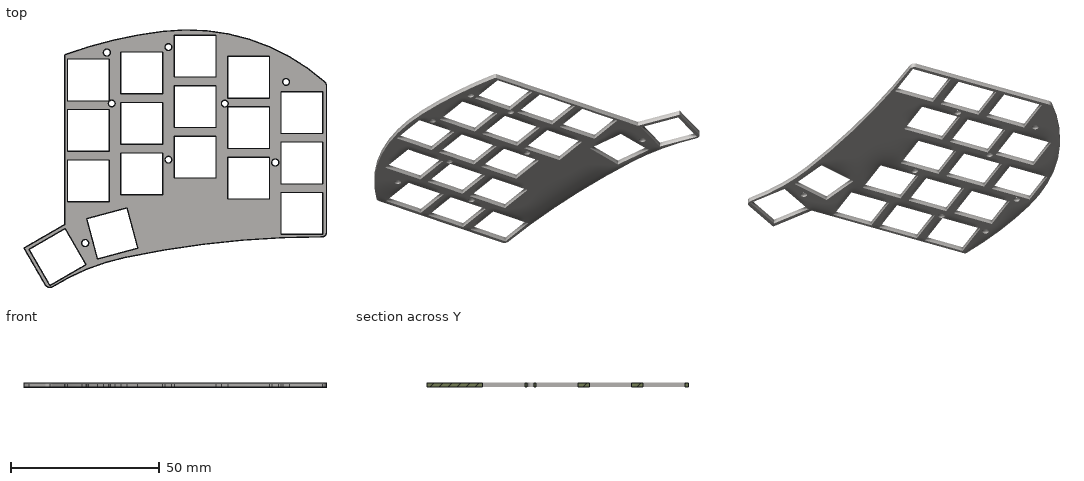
import cadquery as cq
import math

THICKNESS = 1.58

KEY_SIZE = 14.0
COLUMN_PITCH = 18.0
ROW_PITCH = 17.0
ROWS = 3
FIRST_COLUMN_X = -29.3
COLUMN_TOP_Y = [26.5, 28.9, 34.55, 27.43, 15.53]
INNER_THUMB_X, INNER_THUMB_Y, INNER_THUMB_ANGLE = -21.23, -25.2, 15.0
OUTER_THUMB_X, OUTER_THUMB_Y, OUTER_THUMB_ANGLE = -39.68, -33.15, 30.0

SMALL_SCREW_DIAMETER = 2.2
SMALL_SCREW_POSITIONS = [
    (-2.3, 37.6),
    (37.35, 25.85),
    (-21.4, 18.6),
    (16.7, 18.55),
    (-2.3, -0.35),
]
LARGE_SCREW_DIAMETER = 2.3
LARGE_SCREW_POSITIONS = [
    (-23.05, 35.75),
    (33.7, -1.3),
    (-30.35, -28.45),
]

LEFT_X = -37.3
RIGHT_X = 51.01
THUMB_MARGIN = 1.3

TOP_BLEND_X, TOP_BLEND_Y, TOP_BLEND_ANGLE = -4.0, 42.95, 6.76
TOP_LEFT_RADIUS, TOP_RIGHT_RADIUS = 148.8, 69.6
BOTTOM_BLEND_X, BOTTOM_BLEND_Y, BOTTOM_BLEND_ANGLE = -17.0, -33.35, 11.97
BOTTOM_LEFT_RADIUS, BOTTOM_RIGHT_RADIUS = 75.0, 320.0

TOP_LEFT_FILLET = 0.6
TOP_RIGHT_FILLET = 2.0
BOTTOM_RIGHT_FILLET = 1.6
THUMB_FILLET = 1.9


def arc_centre(blend_x, blend_y, blend_angle, radius):
    """Centre of the upward-bulging arc whose tangent at the blend point has this slope."""
    angle = math.radians(blend_angle)
    return blend_x + radius * math.sin(angle), blend_y - radius * math.cos(angle)


def point_on_arc(centre, radius, x):
    """Point at this x on the upper half of a circle."""
    return x, centre[1] + math.sqrt(radius**2 - (x - centre[0]) ** 2)


def from_outer_thumb(across, along):
    """Plate coordinates of a point given in the turned frame of the outer thumb key."""
    angle = math.radians(OUTER_THUMB_ANGLE)
    x = OUTER_THUMB_X + across * math.cos(angle) - along * math.sin(angle)
    y = OUTER_THUMB_Y + across * math.sin(angle) + along * math.cos(angle)
    return x, y


def thumb_side_meets_arc(centre, radius, side_offset):
    """Point where the outer thumb's left side, running down, meets the bottom arc."""
    angle = math.radians(OUTER_THUMB_ANGLE)
    dx = centre[0] - OUTER_THUMB_X
    dy = centre[1] - OUTER_THUMB_Y
    centre_across = dx * math.cos(angle) + dy * math.sin(angle)
    centre_along = dy * math.cos(angle) - dx * math.sin(angle)
    along = centre_along + math.sqrt(radius**2 - (side_offset - centre_across) ** 2)
    return from_outer_thumb(side_offset, along)


def plate_blank():
    top_blend = (TOP_BLEND_X, TOP_BLEND_Y)
    top_left_centre = arc_centre(*top_blend, TOP_BLEND_ANGLE, TOP_LEFT_RADIUS)
    top_right_centre = arc_centre(*top_blend, TOP_BLEND_ANGLE, TOP_RIGHT_RADIUS)
    bottom_blend = (BOTTOM_BLEND_X, BOTTOM_BLEND_Y)
    bottom_left_centre = arc_centre(*bottom_blend, BOTTOM_BLEND_ANGLE, BOTTOM_LEFT_RADIUS)
    bottom_right_centre = arc_centre(*bottom_blend, BOTTOM_BLEND_ANGLE, BOTTOM_RIGHT_RADIUS)

    thumb_edge = KEY_SIZE / 2 + THUMB_MARGIN
    thumb_outer_corner = from_outer_thumb(-thumb_edge, thumb_edge)
    thumb_rise = (LEFT_X - thumb_outer_corner[0]) * math.tan(math.radians(OUTER_THUMB_ANGLE))
    thumb_inner_corner = (LEFT_X, thumb_outer_corner[1] + thumb_rise)
    thumb_bottom_corner = thumb_side_meets_arc(bottom_left_centre, BOTTOM_LEFT_RADIUS, -thumb_edge)
    top_left = point_on_arc(top_left_centre, TOP_LEFT_RADIUS, LEFT_X)
    top_right = point_on_arc(top_right_centre, TOP_RIGHT_RADIUS, RIGHT_X)
    bottom_right = point_on_arc(bottom_right_centre, BOTTOM_RIGHT_RADIUS, RIGHT_X)

    blank = (
        cq.Workplane("XY")
        .workplane(offset=-THICKNESS / 2)
        .moveTo(*thumb_outer_corner)
        .lineTo(*thumb_inner_corner)
        .lineTo(*top_left)
        .radiusArc(top_blend, TOP_LEFT_RADIUS)
        .radiusArc(top_right, TOP_RIGHT_RADIUS)
        .lineTo(*bottom_right)
        .radiusArc(bottom_blend, -BOTTOM_RIGHT_RADIUS)
        .radiusArc(thumb_bottom_corner, -BOTTOM_LEFT_RADIUS)
        .close()
        .extrude(THICKNESS)
    )
    rounded_corners = [
        (top_left, TOP_LEFT_FILLET),
        (top_right, TOP_RIGHT_FILLET),
        (bottom_right, BOTTOM_RIGHT_FILLET),
        (thumb_bottom_corner, THUMB_FILLET),
    ]
    for (x, y), radius in rounded_corners:
        blank = blank.edges("|Z").edges(cq.NearestToPointSelector((x, y, 0))).fillet(radius)
    return blank


def key_cutter(x, y, angle=0.0):
    return (
        cq.Workplane("XY")
        .box(KEY_SIZE, KEY_SIZE, 2 * THICKNESS)
        .rotate((0, 0, 0), (0, 0, 1), angle)
        .translate((x, y, 0))
    )


def cut_keys(plate):
    for column, top_y in enumerate(COLUMN_TOP_Y):
        x = FIRST_COLUMN_X + column * COLUMN_PITCH
        for row in range(ROWS):
            plate = plate.cut(key_cutter(x, top_y - row * ROW_PITCH))
    plate = plate.cut(key_cutter(INNER_THUMB_X, INNER_THUMB_Y, INNER_THUMB_ANGLE))
    return plate.cut(key_cutter(OUTER_THUMB_X, OUTER_THUMB_Y, OUTER_THUMB_ANGLE))


def cut_screw_holes(plate, positions, diameter):
    cutters = (
        cq.Workplane("XY")
        .pushPoints(positions)
        .circle(diameter / 2)
        .extrude(THICKNESS, both=True)
    )
    return plate.cut(cutters)


result = cut_keys(plate_blank())
result = cut_screw_holes(result, SMALL_SCREW_POSITIONS, SMALL_SCREW_DIAMETER)
result = cut_screw_holes(result, LARGE_SCREW_POSITIONS, LARGE_SCREW_DIAMETER)